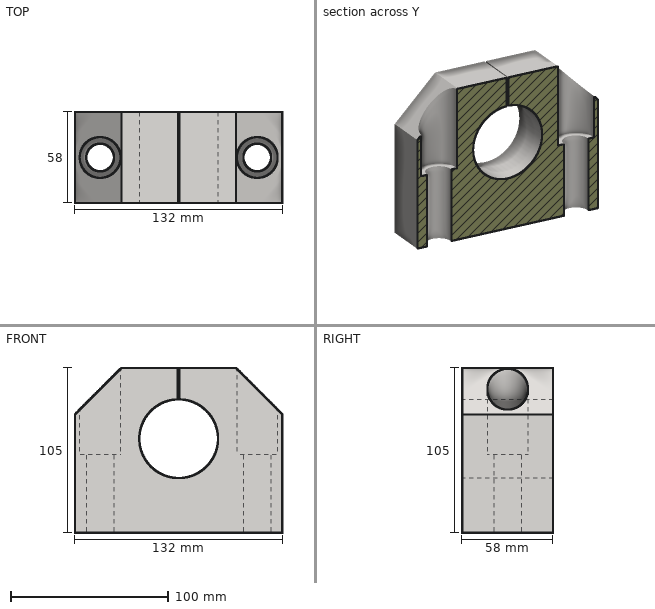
import cadquery as cq

width = 132.0
depth = 58.0
height = 105.0
corner_cut = 29.5

bore_diameter = 50.0
bore_height = 60.0
slit_width = 1.0

hole_spacing = 100.0
hole_diameter = 17.5
counterbore_diameter = 26.0
counterbore_floor = 50.0


def make_block():
    """Rectangular block with both top corners cut off along Y."""
    block = cq.Workplane("XY").box(width, depth, height, centered=(True, True, False))
    return block.edges("|Y and >Z").chamfer(corner_cut)


def cut_clamping_bore(body):
    """Through bore along Y and the slit that opens it to the top face."""
    bore = (
        cq.Workplane("XZ")
        .center(0, bore_height)
        .circle(bore_diameter / 2)
        .extrude(depth / 2, both=True)
    )
    slit = (
        cq.Workplane("XY")
        .workplane(offset=bore_height)
        .rect(slit_width, depth)
        .extrude(height - bore_height)
    )
    return body.cut(bore).cut(slit)


def cut_mounting_holes(body):
    """Two vertical through holes with counterbores open to the sloped corners."""
    for x in (-hole_spacing / 2, hole_spacing / 2):
        hole = cq.Workplane("XY").center(x, 0).circle(hole_diameter / 2).extrude(height)
        counterbore = (
            cq.Workplane("XY")
            .workplane(offset=counterbore_floor)
            .center(x, 0)
            .circle(counterbore_diameter / 2)
            .extrude(height - counterbore_floor)
        )
        body = body.cut(hole).cut(counterbore)
    return body


result = cut_mounting_holes(cut_clamping_bore(make_block()))